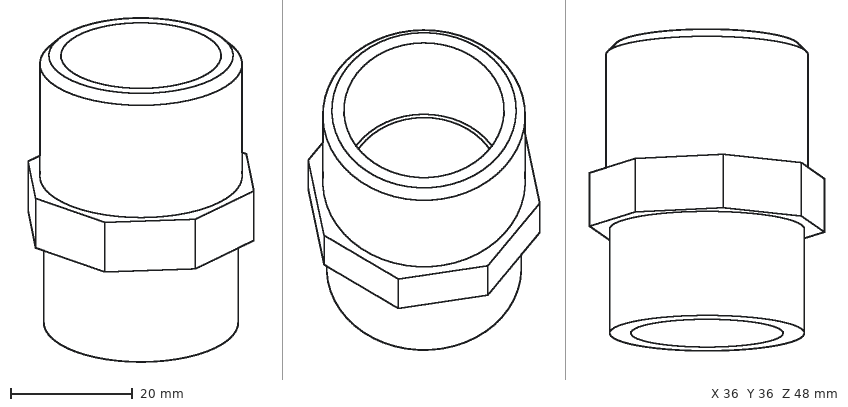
import cadquery as cq

total_height = 48.0
collar_bottom = 17.4
collar_height = 8.95
collar_top = collar_bottom + collar_height

collar_across_flats = 36.0
lower_diameter = 32.0
upper_diameter = 33.25
rim_chamfer = 1.5

lower_bore_diameter = 25.0
upper_bore_diameter = 26.3


def cylinder(diameter, bottom, top):
    """Upright cylinder on the Z axis between two heights."""
    return cq.Workplane("XY").workplane(offset=bottom).circle(diameter / 2).extrude(top - bottom)


def octagonal_collar():
    """Octagonal wrench collar with flats facing X and Y."""
    return (
        cq.Workplane("XY")
        .workplane(offset=collar_bottom)
        .polygon(8, collar_across_flats, circumscribed=True)
        .extrude(collar_height)
    )


lower_spigot = cylinder(lower_diameter, 0, collar_bottom)
upper_spigot = cylinder(upper_diameter, collar_top, total_height).faces(">Z").chamfer(rim_chamfer)
body = lower_spigot.union(octagonal_collar()).union(upper_spigot)

through_bore = cylinder(lower_bore_diameter, 0, total_height)
upper_bore = cylinder(upper_bore_diameter, collar_top, total_height)
result = body.cut(through_bore).cut(upper_bore)